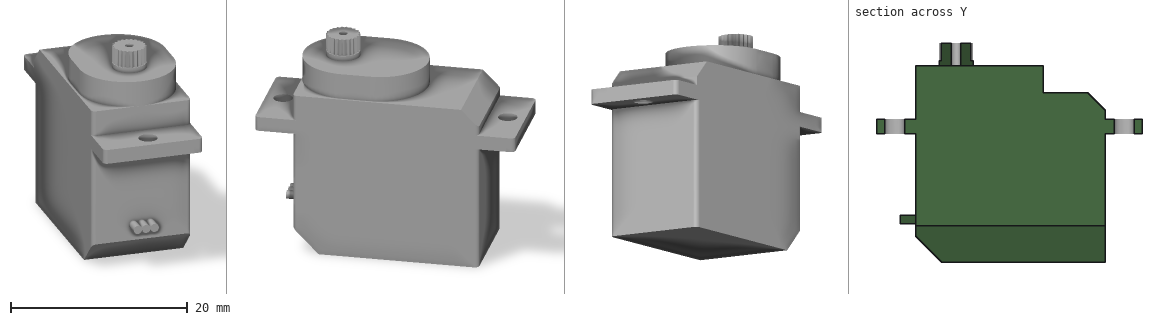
import math

import cadquery as cq

flange_length = 30.1
body_width = 11.8
total_height = 24.9
corner_radius = 0.5

flange_overhang = 4.18
body_length = 21.52
body_x_min = -flange_length / 2 + flange_overhang
body_x_max = body_x_min + body_length
body_x_mid = (body_x_min + body_x_max) / 2
cover_height = 4.18
case_top = 19.3
case_chamfer = 2.02
cover_chamfer = 3.0

flange_bottom = 14.6
flange_thickness = 1.7
flange_top = flange_bottom + flange_thickness
mount_hole_diameter = 2.2
mount_hole_inset = 2.05

boss_width = 11.2
boss_length = 14.5
boss_height = 3.0
boss_top = case_top + boss_height
boss_x_mid = body_x_max - boss_length / 2

shaft_x = 6.05
shaft_diameter = 3.9
shaft_bore_diameter = 1.0
collar_height = 0.6
spline_height = total_height - boss_top - collar_height
tooth_count = 22
groove_depth = 0.25

wire_count = 3
wire_diameter = 1.0
wire_length = 1.72
wire_z = 4.9


def rounded_block(length, x_mid, z_min, height):
    """Block as wide as the body, with its four upright edges rounded."""
    return (
        cq.Workplane("XY", origin=(x_mid, 0, z_min))
        .rect(length, body_width)
        .extrude(height)
        .edges("|Z")
        .fillet(corner_radius)
    )


def corner_wedge(corner_x, corner_z, leg_x, leg_z):
    """Triangular prism across the full width, for cutting a sloped edge; the legs are signed."""
    return (
        cq.Workplane("XZ")
        .moveTo(corner_x, corner_z)
        .lineTo(corner_x + leg_x, corner_z)
        .lineTo(corner_x, corner_z + leg_z)
        .close()
        .extrude(body_width / 2, both=True)
    )


def square_corner():
    """Fills out the rounded (-X, -Y) corner of the case, which is square above the flange."""
    return cq.Workplane("XY", origin=(body_x_min, -body_width / 2, flange_top)).box(
        corner_radius, corner_radius, case_top - flange_top, centered=False
    )


def mount_holes():
    """Cutter for the hole through each end of the flange."""
    hole_x = flange_length / 2 - mount_hole_inset
    return (
        cq.Workplane("XY", origin=(0, 0, flange_bottom))
        .pushPoints([(-hole_x, 0), (hole_x, 0)])
        .circle(mount_hole_diameter / 2)
        .extrude(flange_thickness)
    )


def gear_boss():
    """Oval boss on top of the case."""
    return (
        cq.Workplane("XY", origin=(boss_x_mid, 0, case_top))
        .slot2D(boss_length, boss_width)
        .extrude(boss_height)
    )


def make_case():
    """Case with a sloped top -X edge, the mounting flange and the gear boss."""
    body = rounded_block(body_length, body_x_mid, cover_height, case_top - cover_height)
    slope = corner_wedge(body_x_min, case_top, case_chamfer, -case_chamfer)
    body = body.union(square_corner()).cut(slope)
    flange = rounded_block(flange_length, 0, flange_bottom, flange_thickness)
    return body.union(flange).cut(mount_holes()).union(gear_boss())


def make_cover():
    """Bottom cover with a sloped lower +X edge."""
    body = rounded_block(body_length, body_x_mid, 0, cover_height)
    return body.cut(corner_wedge(body_x_max, 0, -cover_chamfer, cover_chamfer))


def spline_points():
    """Star outline of the spline: a V groove and a sharp crest for each tooth."""
    crest_radius = shaft_diameter / 2
    root_radius = crest_radius - groove_depth
    half_pitch = math.pi / tooth_count
    points = []
    for step in range(2 * tooth_count):
        angle = step * half_pitch
        radius = root_radius if step % 2 == 0 else crest_radius
        points.append((radius * math.cos(angle), radius * math.sin(angle)))
    return points


def make_shaft():
    """Output shaft: plain round collar, toothed spline and a bore right through."""
    collar = (
        cq.Workplane("XY", origin=(shaft_x, 0, boss_top))
        .circle(shaft_diameter / 2)
        .extrude(collar_height)
    )
    spline = (
        cq.Workplane("XY", origin=(shaft_x, 0, boss_top + collar_height))
        .polyline(spline_points())
        .close()
        .extrude(spline_height)
    )
    bore = (
        cq.Workplane("XY", origin=(shaft_x, 0, boss_top))
        .circle(shaft_bore_diameter / 2)
        .extrude(collar_height + spline_height)
    )
    return collar.union(spline).cut(bore)


def make_wire(y):
    """One lead wire standing out of the +X end of the case."""
    return (
        cq.Workplane("YZ", origin=(body_x_max, y, wire_z))
        .circle(wire_diameter / 2)
        .extrude(wire_length)
    )


case = make_case()
cover = make_cover()
shaft = make_shaft()

wires = []
for index in range(wire_count):
    wire_y = (index - (wire_count - 1) / 2) * wire_diameter
    wires.append(make_wire(wire_y).val())

result = cq.Compound.makeCompound([case.val(), cover.val(), shaft.val(), *wires])